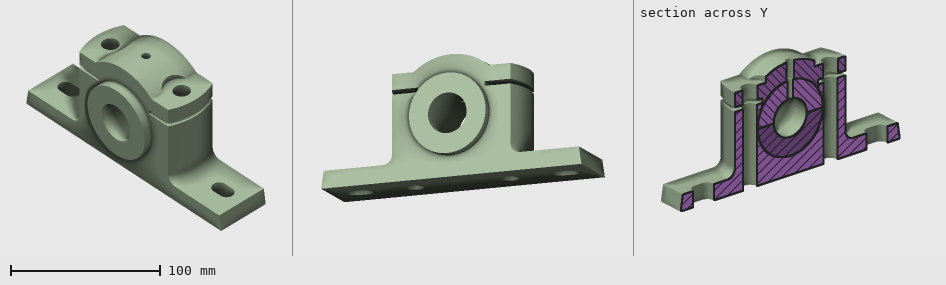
import cadquery as cq


foot_length = 187.8
foot_taper = 1.9
foot_thickness = 12.2
body_width = 41.3
slot_spacing = 148.1
slot_length = 17.6
slot_width = 10.9

pedestal_radius = 47.5
pedestal_top = 59.9
pedestal_fillet = 6.4
parting_gap = 3.2
tongue_width = 48.0

bore_height = 42.0
bush_radius = 27.6
bush_length = 55.2
bore_radius = 13.9

cap_top = 84.0
flange_top = 74.0
flange_bottom = pedestal_top + parting_gap
crown_radius = cap_top - bore_height
oil_hole_diameter = 6.4
oil_drill_diameter = 4.1

bolt_spacing = 68.7
cap_bolt_hole_diameter = 12.4
base_bolt_hole_diameter = 11.6
spotface_radius = 13.3


def bore_cylinder(radius, length):
    """Cylinder on the bore axis, centred on Y = 0."""
    return (
        cq.Workplane("XZ", origin=(0, length / 2, bore_height))
        .circle(radius)
        .extrude(length)
    )


def slab(width, depth, bottom, top):
    """Box centred on the Z axis between two heights."""
    return (
        cq.Workplane("XY", origin=(0, 0, bottom))
        .rect(width, depth)
        .extrude(top - bottom)
    )


def round_block(bottom, top):
    """Block with flat front and back and round ends, centred on the Z axis."""
    disc = cq.Workplane("XY", origin=(0, 0, bottom)).circle(pedestal_radius).extrude(top - bottom)
    return disc.intersect(slab(foot_length, body_width, bottom, top))


def cylinder_pair(spacing, radius, bottom, top):
    """Two upright cylinders at equal distances either side of the bore axis."""
    return (
        cq.Workplane("XY", origin=(0, 0, bottom))
        .pushPoints([(-spacing / 2, 0), (spacing / 2, 0)])
        .circle(radius)
        .extrude(top - bottom)
    )


def oil_hole(diameter):
    """Upright cylinder from the bore axis to the top of the cap."""
    return (
        cq.Workplane("XY", origin=(0, 0, bore_height))
        .circle(diameter / 2)
        .extrude(cap_top - bore_height)
    )


def bolt_holes(diameter):
    """Cylinders for the two cap bolts through the full height of the block."""
    return cylinder_pair(bolt_spacing, diameter / 2, 0, cap_top)


def make_foot():
    """Foot plate with sloping ends and two mounting slots."""
    half_length = foot_length / 2
    half_top = half_length - foot_taper
    plate = (
        cq.Workplane("XZ", origin=(0, body_width / 2, 0))
        .polyline([
            (-half_length, 0),
            (half_length, 0),
            (half_top, foot_thickness),
            (-half_top, foot_thickness),
        ])
        .close()
        .extrude(body_width)
    )
    slots = (
        cq.Workplane("XY")
        .pushPoints([(-slot_spacing / 2, 0), (slot_spacing / 2, 0)])
        .slot2D(slot_length, slot_width)
        .extrude(foot_thickness)
    )
    return plate.cut(slots)


def make_pedestal():
    """Pedestal flared into the foot by a fillet round its curved ends."""
    flare_radius = pedestal_radius + pedestal_fillet
    flare_top = foot_thickness + pedestal_fillet
    profile = (
        cq.Workplane("XZ")
        .moveTo(0, 0)
        .lineTo(flare_radius, 0)
        .lineTo(flare_radius, foot_thickness)
        .radiusArc((pedestal_radius, flare_top), pedestal_fillet)
        .lineTo(pedestal_radius, pedestal_top)
        .lineTo(0, pedestal_top)
        .close()
    )
    turned = profile.revolve(360, (0, 0, 0), (0, 1, 0))
    return turned.intersect(slab(foot_length, body_width, 0, pedestal_top))


def make_base():
    """Foot and pedestal with the bush seat, the tongue slot and bolt holes."""
    tongue_slot = slab(tongue_width, body_width, bore_height, pedestal_top)
    return (
        make_foot()
        .union(make_pedestal())
        .cut(tongue_slot)
        .cut(bore_cylinder(bush_radius, bush_length))
        .cut(bolt_holes(base_bolt_hole_diameter))
    )


def make_cap():
    """Bolted flange with a round crown over the bush and a tongue below."""
    tongue = slab(tongue_width, body_width, bore_height, flange_bottom)
    crown = bore_cylinder(crown_radius, body_width).intersect(
        slab(foot_length, body_width, flange_bottom, cap_top)
    )
    spotfaces = cylinder_pair(bolt_spacing, spotface_radius, flange_top, cap_top)
    return (
        round_block(flange_bottom, flange_top)
        .union(crown)
        .union(tongue)
        .cut(spotfaces)
        .cut(bore_cylinder(bush_radius, bush_length))
        .cut(bolt_holes(cap_bolt_hole_diameter))
        .cut(oil_hole(oil_hole_diameter))
    )


def make_half_bush(bottom, top):
    """Part of the bush between two heights, one of which is the bore axis."""
    ring = bore_cylinder(bush_radius, bush_length).cut(bore_cylinder(bore_radius, bush_length))
    return ring.intersect(slab(foot_length, bush_length, bottom, top))


base = make_base()
cap = make_cap()
lower_bush = make_half_bush(0, bore_height)
upper_bush = make_half_bush(bore_height, cap_top).cut(oil_hole(oil_drill_diameter))

result = cq.Compound.makeCompound([
    base.solids().val(),
    cap.solids().val(),
    lower_bush.solids().val(),
    upper_bush.solids().val(),
])